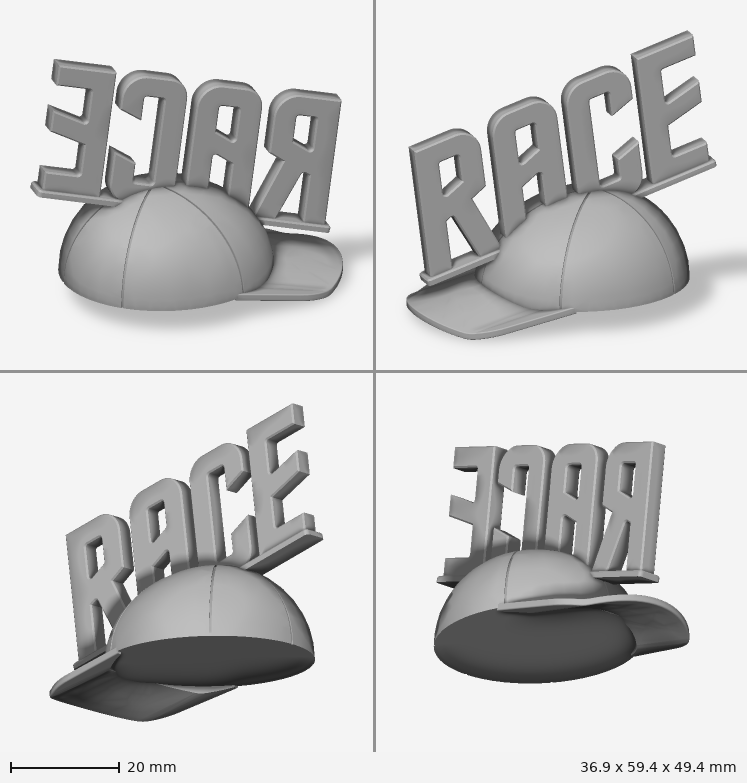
import cadquery as cq
import math

CROWN_HALF_WIDTH = 18.45
CROWN_HALF_LENGTH = 19.95
CROWN_HEIGHT = 17.4
APEX_Y = -2.25
CROWN_TOP_SCALE = 0.1
CROWN_SECTIONS = 10

SEAM_WIDTH = 0.5
SEAM_DEPTH = 0.25
SEAM_ANGLES = (90.0, 35.5, -38.7)

BRIM_TIP_Y = 33.4
BRIM_TIP_TOP_Z = -1.35
BRIM_THICKNESS = 1.35
BRIM_SLOPE = 0.21
BRIM_ARCH_HALF_WIDTH = 12.65
BRIM_ARCH_DROP = 2.95
BRIM_BEND_RADIUS = 3.55
BRIM_EDGE_DROP = 3.1
BRIM_FRONT_CORNER = (12.75, 27.45)
BRIM_CORNER_MIDDLE = (14.7, 24.45)
BRIM_SIDE_FRONT = (15.7, 20.8)
BRIM_SIDE_REAR = (16.9, 7.7)
BRIM_CUT_HEIGHT = 23.75
BRIM_TRIM = 0.6
BRIM_EDGE_RADIUS = 0.25
WALL_TOLERANCE = 0.01
BRIM_INNER_SCALE = 0.95

BASELINE_ANGLE = 16.0
STEM_LEAN = 7.4
WORD_START_Y = 30.4
WORD_START_Z = 4.65
LETTER_DEPTH = 3.45
LETTER_HEIGHT = 24.95
LETTER_WIDTH = 13.05
LETTER_EDGE = 0.3
STEM = 4.5
TOP_BAR = 4.05
LOWER_BAR = 3.6
DIAGONAL_RISE = 1.7
OUTER_RADIUS = 4.15
INNER_RADIUS = 0.55
A_START = 15.6
C_START = 30.75
E_START = 45.5

BASE_WIDTH = 5.0
BASE_THICKNESS = 1.25
BASE_START = -1.0
BASE_END = 58.1
BASE_CORNER_RADIUS = 0.8
BASE_EDGE = 0.3


def rim_ellipse(scale, inset=0.0):
    """Rim ellipse scaled towards the apex, then shrunk by the inset; drawn at Z = 0."""
    centre_y = APEX_Y * (1 - scale)
    return (cq.Workplane("XY").center(0, centre_y)
            .ellipse(CROWN_HALF_WIDTH * scale - inset, CROWN_HALF_LENGTH * scale - inset))


def crown_solid(inset=0.0):
    """Loft through ever smaller ellipses whose sizes follow a quarter ellipse in height."""
    top_angle = math.acos(CROWN_TOP_SCALE)
    wires = []
    for index in range(CROWN_SECTIONS):
        angle = top_angle * index / (CROWN_SECTIONS - 1)
        height = (CROWN_HEIGHT - inset) * math.sin(angle)
        section = rim_ellipse(math.cos(angle), inset)
        wires.append(section.val().translate(cq.Vector(0, 0, height)))
    return cq.Workplane(cq.Solid.makeLoft(wires))


def crown():
    """Crown with seams: upright slabs through the apex, kept clear of an inner crown, are cut away."""
    body = crown_solid()
    core = crown_solid(SEAM_DEPTH)
    reach = 4 * CROWN_HALF_LENGTH
    for angle in SEAM_ANGLES:
        slab = cq.Workplane("XY").box(reach, SEAM_WIDTH, 3 * CROWN_HEIGHT)
        slab = slab.rotate((0, 0, 0), (0, 0, 1), angle).translate((0, APEX_Y, 0))
        body = body.cut(slab.cut(core))
    return body


def brim():
    """Arched plate swept down the slope, trimmed to its outline and opened under the crown."""
    edge_x = BRIM_SIDE_REAR[0] + BRIM_TRIM
    arch_x = BRIM_ARCH_HALF_WIDTH
    top = BRIM_TIP_TOP_Z
    bottom = top - BRIM_THICKNESS
    profile = (
        cq.Workplane("XZ", origin=(0, BRIM_TIP_Y, 0))
        .moveTo(-edge_x, top - BRIM_EDGE_DROP)
        .lineTo(-arch_x, top - BRIM_ARCH_DROP)
        .threePointArc((0, top), (arch_x, top - BRIM_ARCH_DROP))
        .lineTo(edge_x, top - BRIM_EDGE_DROP)
        .lineTo(edge_x, bottom - BRIM_EDGE_DROP)
        .lineTo(arch_x, bottom - BRIM_ARCH_DROP)
        .threePointArc((0, bottom), (-arch_x, bottom - BRIM_ARCH_DROP))
        .lineTo(-edge_x, bottom - BRIM_EDGE_DROP)
        .close()
    )
    length = BRIM_TIP_Y - BRIM_SIDE_REAR[1]
    sweep = cq.Vector(0, -length, length * BRIM_SLOPE)
    plate = cq.Workplane(cq.Solid.extrudeLinear(profile.val(), [], sweep))
    lengthwise = plate.edges(cq.selectors.ParallelDirSelector(sweep))
    halfway_x = (arch_x + edge_x) / 2
    bends = lengthwise.filter(lambda edge: abs(edge.Center().x) < halfway_x)
    plate = bends.fillet(BRIM_BEND_RADIUS)

    def left(point):
        return (-point[0], point[1])

    outline = (
        cq.Workplane("XY", origin=(0, 0, -BRIM_CUT_HEIGHT / 2))
        .moveTo(*BRIM_SIDE_REAR)
        .lineTo(*BRIM_SIDE_FRONT)
        .threePointArc(BRIM_CORNER_MIDDLE, BRIM_FRONT_CORNER)
        .threePointArc((0, BRIM_TIP_Y), left(BRIM_FRONT_CORNER))
        .threePointArc(left(BRIM_CORNER_MIDDLE), left(BRIM_SIDE_FRONT))
        .lineTo(*left(BRIM_SIDE_REAR))
        .close()
        .extrude(BRIM_CUT_HEIGHT)
    )
    opening = rim_ellipse(BRIM_INNER_SCALE).extrude(BRIM_CUT_HEIGHT / 2, both=True)
    plate = plate.intersect(outline)
    walls = plate.faces("not <Y").filter(lambda face: abs(face.normalAt().z) < WALL_TOLERANCE)
    plate = walls.edges("not |Z").edges("not <Y").fillet(BRIM_EDGE_RADIUS)
    return plate.cut(opening)


def word_point(along, up):
    """Point of the slanted lettering as (-Y, Z), from its place along the baseline and up the stems."""
    slope = math.radians(BASELINE_ANGLE)
    lean = math.radians(STEM_LEAN)
    horizontal = along * math.cos(slope) - up * math.sin(lean)
    vertical = along * math.sin(slope) + up * math.cos(lean)
    return cq.Vector(horizontal - WORD_START_Y, vertical + WORD_START_Z, 0)


def slanted_plate(corners, start, depth):
    """Plate centred on X = 0 from (along, up, corner radius) triples."""
    points = [word_point(start + along, up) for along, up, _ in corners]
    plane = cq.Plane(origin=(depth / 2, 0, 0), xDir=(0, -1, 0), normal=(-1, 0, 0))
    arcs = []
    for index, (_, _, radius) in enumerate(corners):
        corner = points[index]
        to_last = (points[index - 1] - corner).normalized()
        to_next = (points[(index + 1) % len(points)] - corner).normalized()
        half_angle = to_last.getAngle(to_next) / 2
        setback = radius / math.tan(half_angle)
        middle_distance = radius / math.sin(half_angle) - radius
        middle = corner + (to_last + to_next).normalized() * middle_distance
        arcs.append((corner + to_last * setback, middle, corner + to_next * setback, radius))
    outline = cq.Workplane(plane).moveTo(arcs[0][2].x, arcs[0][2].y)
    for first, middle, last, radius in arcs[1:] + arcs[:1]:
        outline = outline.lineTo(first.x, first.y)
        if radius > 0:
            outline = outline.threePointArc((middle.x, middle.y), (last.x, last.y))
    return outline.close().extrude(depth)


def letter(start, outline, openings=()):
    """One letter with its openings cut and the edges of both faces bevelled."""
    body = slanted_plate(outline, start, LETTER_DEPTH)
    for opening in openings:
        body = body.cut(slanted_plate(opening, start, LETTER_DEPTH))
    return body.faces("<X or >X").edges().chamfer(LETTER_EDGE)


INNER_RIGHT = LETTER_WIDTH - STEM
INNER_TOP = LETTER_HEIGHT - TOP_BAR
FOOT = -BASE_THICKNESS / 2
COUNTER_BOTTOM = 13.9
UPPER_COUNTER = [
    (STEM, COUNTER_BOTTOM, INNER_RADIUS),
    (STEM, INNER_TOP, INNER_RADIUS),
    (INNER_RIGHT, INNER_TOP, INNER_RADIUS),
    (INNER_RIGHT, COUNTER_BOTTOM + DIAGONAL_RISE, 0),
]


def letter_r():
    bowl_bottom = 12.75
    notch = (10.1, 11.45)
    leg_outer = 14.55
    leg_inner = 10.0
    crotch = (5.9, 9.85)
    stem_cut = 9.25
    outline = [
        (0, FOOT, 0),
        (0, LETTER_HEIGHT, 0),
        (LETTER_WIDTH, LETTER_HEIGHT, OUTER_RADIUS),
        (LETTER_WIDTH, bowl_bottom, 0),
        (*notch, 0),
        (leg_outer, 0, 0),
        (leg_outer, FOOT, 0),
        (leg_inner, FOOT, 0),
        (leg_inner, 0, 0),
        (*crotch, INNER_RADIUS),
        (STEM, stem_cut, 0),
        (STEM, FOOT, 0),
    ]
    return letter(0, outline, [UPPER_COUNTER])


def letter_a():
    crossbar_bottom = 9.7
    outline = [
        (0, FOOT, 0),
        (0, LETTER_HEIGHT, OUTER_RADIUS),
        (LETTER_WIDTH, LETTER_HEIGHT, OUTER_RADIUS),
        (LETTER_WIDTH, FOOT, 0),
        (INNER_RIGHT, FOOT, 0),
        (INNER_RIGHT, crossbar_bottom + DIAGONAL_RISE, INNER_RADIUS),
        (STEM, crossbar_bottom, 0),
        (STEM, FOOT, 0),
    ]
    return letter(A_START, outline, [UPPER_COUNTER])


def letter_c():
    upper_tip = 16.0
    lower_tip = 7.5
    outline = [
        (0, FOOT, OUTER_RADIUS),
        (0, LETTER_HEIGHT, OUTER_RADIUS),
        (LETTER_WIDTH, LETTER_HEIGHT, OUTER_RADIUS),
        (LETTER_WIDTH, upper_tip + DIAGONAL_RISE, 0),
        (INNER_RIGHT, upper_tip, 0),
        (INNER_RIGHT, INNER_TOP, INNER_RADIUS),
        (STEM, INNER_TOP, INNER_RADIUS),
        (STEM, LOWER_BAR, INNER_RADIUS),
        (INNER_RIGHT, LOWER_BAR, INNER_RADIUS),
        (INNER_RIGHT, lower_tip, 0),
        (LETTER_WIDTH, lower_tip + DIAGONAL_RISE, 0),
        (LETTER_WIDTH, FOOT, OUTER_RADIUS),
    ]
    return letter(C_START, outline)


def letter_e():
    arm_end = 11.65
    arm_root = 9.8
    arm_thickness = 4.2
    arm_rise = 1.85
    outline = [
        (0, FOOT, 0),
        (0, LETTER_HEIGHT, 0),
        (arm_end, LETTER_HEIGHT, 0),
        (arm_end, INNER_TOP, 0),
        (STEM, INNER_TOP, INNER_RADIUS),
        (STEM, arm_root + arm_thickness, INNER_RADIUS),
        (arm_end, arm_root + arm_thickness + arm_rise, 0),
        (arm_end, arm_root + arm_rise, 0),
        (STEM, arm_root, 0),
        (STEM, LOWER_BAR, INNER_RADIUS),
        (arm_end, LOWER_BAR, 0),
        (arm_end, FOOT, 0),
    ]
    return letter(E_START, outline)


def base_bar():
    """Bar under the letters, drawn in its own frame: X along the baseline, Z square to it."""
    slope = math.radians(BASELINE_ANGLE)
    frame = cq.Plane(
        origin=(0, WORD_START_Y, WORD_START_Z),
        xDir=(0, -math.cos(slope), math.sin(slope)),
        normal=(0, math.sin(slope), math.cos(slope)),
    )
    bar = (
        cq.Workplane("XY", origin=(BASE_START, 0, -BASE_THICKNESS))
        .box(BASE_END - BASE_START, BASE_WIDTH, BASE_THICKNESS, centered=(False, True, False))
        .edges("|Z").fillet(BASE_CORNER_RADIUS)
        .faces(">Z").edges().chamfer(BASE_EDGE)
    )
    return cq.Workplane(bar.val().moved(cq.Location(frame)))


result = crown().union(brim())
for piece in (base_bar(), letter_r(), letter_a(), letter_c(), letter_e()):
    result = result.union(piece)